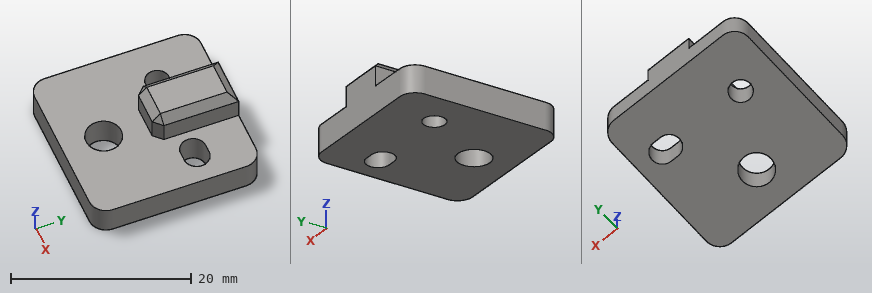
import cadquery as cq

plate_side = 20.0
plate_height = 3.5
corner_radius = 2.0

key_width = 6.0
key_length = plate_side / 2
key_height = 3.5
key_chamfer = 1.0

main_hole_diameter = 4.2
main_hole_y = -5.0
pin_hole_diameter = 2.8
pin_row_y = 3.5
pin_hole_x = -5.0
slot_x = 6.0
slot_length = 4.0
slot_width = 3.0


def make_plate():
    plate = cq.Workplane("XY").box(plate_side, plate_side, plate_height, centered=(True, True, False))
    return plate.edges("|Z").fillet(corner_radius)


def make_key():
    """Block with bevelled top edges and bevelled front corners."""
    key = (
        cq.Workplane("XY", origin=(0, plate_side / 2 - key_length / 2, plate_height))
        .box(key_width, key_length, key_height, centered=(True, True, False))
    )
    front_corners = key.faces("<Y").edges("|Z")
    return key.faces(">Z").edges().add(front_corners).chamfer(key_chamfer)


def round_cutter(diameter, x, y):
    return cq.Workplane("XY").center(x, y).circle(diameter / 2).extrude(plate_height)


def slot_cutter():
    return cq.Workplane("XY").center(slot_x, pin_row_y).slot2D(slot_length, slot_width).extrude(plate_height)


result = (
    make_plate()
    .cut(round_cutter(main_hole_diameter, 0, main_hole_y))
    .cut(round_cutter(pin_hole_diameter, pin_hole_x, pin_row_y))
    .cut(slot_cutter())
    .union(make_key())
)